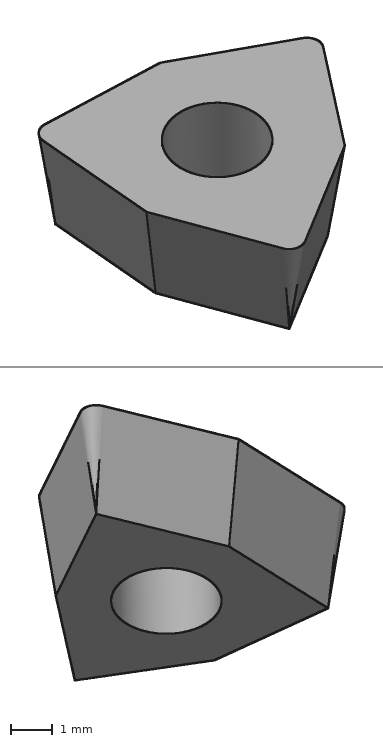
import cadquery as cq
import math

inscribed_diameter = 6.0
nose_radius = 0.4
nose_angle = 84
first_nose_direction = -138
nose_count = 3
thickness = 2.95
hole_diameter = 2.65

inscribed_radius = inscribed_diameter / 2
lower_inscribed_radius = inscribed_radius - nose_radius
nose_pitch = 360 / nose_count
blunt_half_angle = (360 - nose_pitch - nose_angle) / 2
nose_directions = [first_nose_direction + i * nose_pitch for i in range(nose_count)]


def polar(radius, direction):
    angle = math.radians(direction)
    return (radius * math.cos(angle), radius * math.sin(angle))


def nose_distance(edge_distance):
    return edge_distance / math.sin(math.radians(nose_angle / 2))


def trigon(edge_distance):
    """Sharp six-sided outline whose edges all lie edge_distance from the centre."""
    blunt_distance = edge_distance / math.sin(math.radians(blunt_half_angle))
    points = []
    for direction in nose_directions:
        points.append(polar(nose_distance(edge_distance), direction))
        points.append(polar(blunt_distance, direction + nose_pitch / 2))
    return points


def sharp_body():
    return (
        cq.Workplane("XY").polyline(trigon(lower_inscribed_radius)).close()
        .workplane(offset=thickness).polyline(trigon(inscribed_radius)).close()
        .loft(ruled=True, combine=True)
    )


def tetrahedron(apex, base):
    """Solid joining a three-point base to an apex."""
    outlines = [base] + [[apex, base[i], base[(i + 1) % 3]] for i in range(3)]
    faces = [
        cq.Face.makeFromWires(cq.Wire.makePolygon([cq.Vector(*p) for p in outline], close=True))
        for outline in outlines
    ]
    return cq.Workplane(obj=cq.Solid.makeSolid(cq.Shell.makeShell(faces)))


def round_nose(body, direction):
    """Replace a sharp nose with a cone tangent to both flanks, its apex on the lower face."""
    x, y = polar(nose_distance(lower_inscribed_radius), direction)
    tip = (*polar(nose_distance(inscribed_radius), direction), thickness)
    tangent_points = []
    for side in (-1, 1):
        dx, dy = polar(nose_radius, direction + side * (90 - nose_angle / 2))
        tangent_points.append((x + dx, y + dy, thickness))
    sharp_corner = tetrahedron((x, y, 0), [tangent_points[0], tip, tangent_points[1]])
    cone = cq.Solid.makeCone(0, nose_radius, thickness, cq.Vector(x, y, 0))
    return body.cut(sharp_corner).union(cone)


result = sharp_body()
for nose_direction in nose_directions:
    result = round_nose(result, nose_direction)

hole = cq.Workplane("XY").circle(hole_diameter / 2).extrude(thickness)
result = cq.Workplane(obj=result.cut(hole).solids().val())